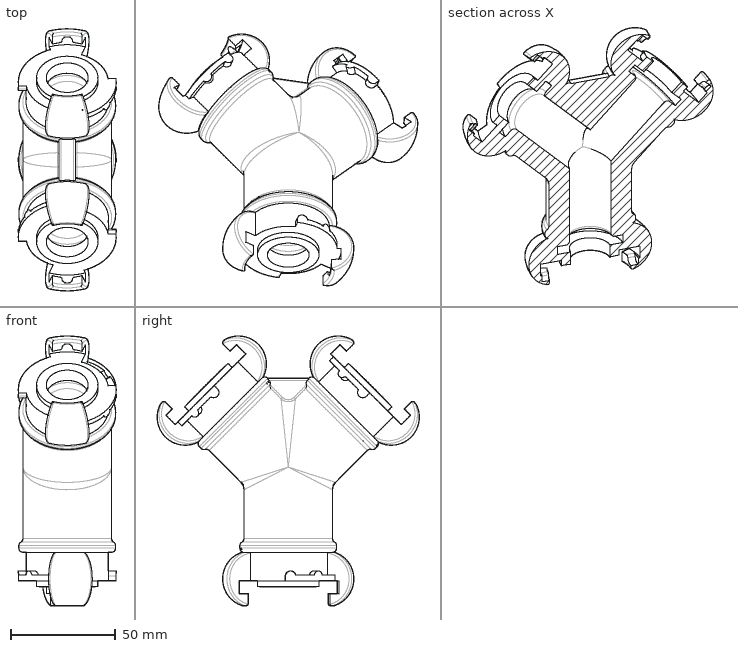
import cadquery as cq
import math

branch_angle = 45.0
stem_length = 57.5
branch_shortening = 1.78
branch_length = stem_length - branch_shortening
stem_twist = -3.0

arms = (
    (180.0, stem_length, stem_twist),
    (branch_angle, branch_length, 0.0),
    (-branch_angle, branch_length, 0.0),
)

pipe_r = 42.5 / 2
blend_r = 5.0
bore_r = 21 / 2
bore_mouth_r = 2.0
chamber_r = 33.25 / 2
seal_bore_r = 20 / 2
seal_r = 29.5 / 2
seal_crown = 0.2
neck_r = 19.75
collar_r = 46.5 / 2
flange_r = 47 / 2

face_back = 3.0
seal_depth = 7.0
chamber_depth = 11.0
collar_back = 16.65
collar_round = 2.0
collar_blend_back = 23.3

flange_thickness = 2.7
bump_r = 2.5
bump_height = 4.7
bump_angles = (0.0, 35.0)

claw_r = 13.5
claw_centre_r = 18.0
claw_centre_back = 3.9
claw_half_angle = 20.0
claw_round = 1.0
claw_wall_r = 25.4
claw_tip_r = 20.8
slot_height = 6.2
notch_r = 2.5
notch_depth = 3.7
notch_reach = 24.5

web_half_width = 4.0
web_top = 42.6
web_round = 1.0
web_foot_round = 1.0
web_root = 28.0
web_end_y = 10.8

overlap = 1.0
tolerance = 1e-3


def revolve_profile(profile):
    """Revolve an outline drawn as (radius, distance along the arm) about the arm axis."""
    return profile.close().revolve(360, (0, 0, 0), (0, 1, 0))


def cylinder(radius, start, end):
    return cq.Workplane("XY").workplane(offset=start).circle(radius).extrude(end - start)


def collar(length):
    """Pipe end ring: rounded outside, running smoothly into a concave blend on the pipe."""
    front = length - collar_back
    blend_back = length - collar_blend_back
    centre_r = collar_r - collar_round
    blend_centre_r = pipe_r + collar_round
    meet_angle = math.acos(1 - (collar_r - pipe_r) / (2 * collar_round))
    flat_front = front - collar_round
    flat_back = blend_back + 2 * collar_round * math.sin(meet_angle)

    def on_round(centre_s, angle):
        return (centre_r + collar_round * math.cos(angle), centre_s + collar_round * math.sin(angle))

    def on_blend(angle):
        return (blend_centre_r - collar_round * math.cos(angle), blend_back + collar_round * math.sin(angle))

    profile = (
        cq.Workplane("XZ")
        .moveTo(chamber_r, blend_back)
        .lineTo(pipe_r, blend_back)
        .threePointArc(on_blend(meet_angle / 2), on_blend(meet_angle))
        .threePointArc(on_round(flat_back, -meet_angle / 2), (collar_r, flat_back))
        .lineTo(collar_r, flat_front)
        .threePointArc(on_round(flat_front, math.pi / 4), (centre_r, front))
        .lineTo(chamber_r, front)
    )
    return revolve_profile(profile)


def claw(length):
    """Hooked claw on the +Y side: a D profile swept about the arm axis between two radial planes."""
    face = length - face_back
    hook = face + slot_height
    centre_s = length - claw_centre_back
    base_s = length - collar_back
    base_r = claw_centre_r + math.sqrt(claw_r**2 - (centre_s - base_s) ** 2)
    tip_s = centre_s + math.sqrt(claw_r**2 - (claw_tip_r - claw_centre_r) ** 2)
    profile = (
        cq.Workplane("XZ")
        .moveTo(claw_centre_r, base_s)
        .lineTo(base_r, base_s)
        .threePointArc((claw_centre_r + claw_r, centre_s), (claw_tip_r, tip_s))
        .lineTo(claw_tip_r, hook)
        .lineTo(claw_wall_r, hook)
        .lineTo(claw_wall_r, face)
        .lineTo(claw_centre_r, face)
        .close()
    )
    body = profile.revolve(2 * claw_half_angle, (0, 0, 0), (0, 1, 0))
    centre = body.val().Center()
    turn = 90 - math.degrees(math.atan2(centre.y, centre.x))
    body = body.rotate((0, 0, 0), (0, 0, 1), turn)

    def is_outer(edge):
        if edge.geomType() != "CIRCLE":
            return False
        on_side = abs(edge.radius() - claw_r) < tolerance
        return on_side or edge.Center().z > tip_s - tolerance

    outer_edges = [e for e in body.edges().vals() if is_outer(e)]
    body = body.newObject(outer_edges).fillet(claw_round)

    flare = notch_depth - notch_r
    mouth_x = notch_r + flare
    flare_x = mouth_x - flare * math.sqrt(0.5)
    flare_s = hook + flare * (1 - math.sqrt(0.5))
    notch = (
        cq.Workplane("XZ")
        .moveTo(-mouth_x, hook)
        .threePointArc((-flare_x, flare_s), (-notch_r, hook + flare))
        .threePointArc((0, hook + notch_depth), (notch_r, hook + flare))
        .threePointArc((flare_x, flare_s), (mouth_x, hook))
        .close()
        .extrude(-notch_reach)
    )
    return body.cut(notch)


def flange_sector(length):
    """Quarter flange from the -X axis round to the +Y claw, with bumps on its rear side."""
    face = length - face_back
    bump_s = face - bump_height + bump_r
    ring = cylinder(flange_r, face - bump_height, face).cut(
        cylinder(chamber_r + overlap, face - bump_height, face)
    )
    blank = (
        cq.Workplane("XY")
        .box(flange_r, flange_r, flange_thickness, centered=False)
        .translate((-flange_r, 0, face - flange_thickness))
    )
    for angle in bump_angles:
        bump = cq.Workplane("YZ").center(0, bump_s).circle(bump_r).extrude(-flange_r)
        foot = (
            cq.Workplane("XY")
            .box(flange_r, 2 * bump_r, face - bump_s, centered=(False, True, False))
            .translate((-flange_r, 0, bump_s))
        )
        blank = blank.union(bump.union(foot).rotate((0, 0, 0), (0, 0, 1), -angle))
    return ring.intersect(blank)


def arm(length, twist):
    """One coupling head along +Z, its claws and flange sectors repeated at half a turn."""
    face = length - face_back
    head = collar(length)
    head = head.union(cylinder(neck_r, length - collar_back - overlap, face))
    seal = (
        cq.Workplane("XZ")
        .moveTo(0, face - overlap)
        .lineTo(seal_r, face - overlap)
        .lineTo(seal_r, length - seal_crown)
        .lineTo(seal_bore_r, length)
        .lineTo(0, length)
    )
    head = head.union(revolve_profile(seal))
    half = claw(length).union(flange_sector(length))
    for turn in (0, 180):
        head = head.union(half.rotate((0, 0, 0), (0, 0, 1), turn))
    return head.rotate((0, 0, 0), (0, 0, 1), twist)


def arm_bore(length):
    """Stepped passage of one arm, from the junction out through the seal."""
    chamber_s = length - chamber_depth
    mouth_inset = bore_mouth_r * (1 - math.sqrt(0.5))
    mouth_middle = (bore_r + mouth_inset, chamber_s - mouth_inset)
    profile = (
        cq.Workplane("XZ")
        .moveTo(0, 0)
        .lineTo(bore_r, 0)
        .lineTo(bore_r, chamber_s - bore_mouth_r)
        .threePointArc(mouth_middle, (bore_r + bore_mouth_r, chamber_s))
        .lineTo(chamber_r, chamber_s)
        .lineTo(chamber_r, length - seal_depth)
        .lineTo(seal_bore_r, length - seal_depth)
        .lineTo(seal_bore_r, length)
        .lineTo(0, length)
    )
    return revolve_profile(profile)


def tilt(shape, angle):
    return shape.rotate((0, 0, 0), (1, 0, 0), angle)


def pipe_junction():
    """The three plain pipes, rounded where they meet."""
    body = cq.Workplane("XY")
    for angle, length, _ in arms:
        body = body.union(tilt(cylinder(pipe_r, 0, length - collar_back - overlap), angle))
    return body.newObject(body.edges("%ELLIPSE").vals()).fillet(blend_r)


def add_web(body):
    """Fill the crotch between the upper arms with a thin web, rounded along its top and foot."""
    web = (
        cq.Workplane("YZ")
        .polyline([(0, web_root), (web_end_y, web_root + web_end_y), (web_end_y, web_top)])
        .lineTo(-web_end_y, web_top)
        .lineTo(-web_end_y, web_root + web_end_y)
        .close()
        .extrude(web_half_width, both=True)
    )
    web = web.edges("|Y").edges(">Z").fillet(web_round)
    body = body.union(web)

    def is_foot(edge):
        centre = edge.Center()
        on_side = edge.BoundingBox().xlen < tolerance and abs(abs(centre.x) - web_half_width) < tolerance
        tilt_angle = math.radians(branch_angle)
        off_axis = centre.z * math.sin(tilt_angle) - abs(centre.y) * math.cos(tilt_angle)
        on_pipe = math.hypot(centre.x, off_axis) < pipe_r + tolerance
        in_crotch = abs(centre.y) < tolerance and centre.z < web_top - 2 * web_round
        return on_side and (on_pipe or in_crotch)

    return body.newObject([e for e in body.edges().vals() if is_foot(e)]).fillet(web_foot_round)


result = add_web(pipe_junction())
for angle, length, twist in arms:
    result = result.union(tilt(arm(length, twist), angle))
for angle, length, twist in arms:
    result = result.cut(tilt(arm_bore(length), angle))